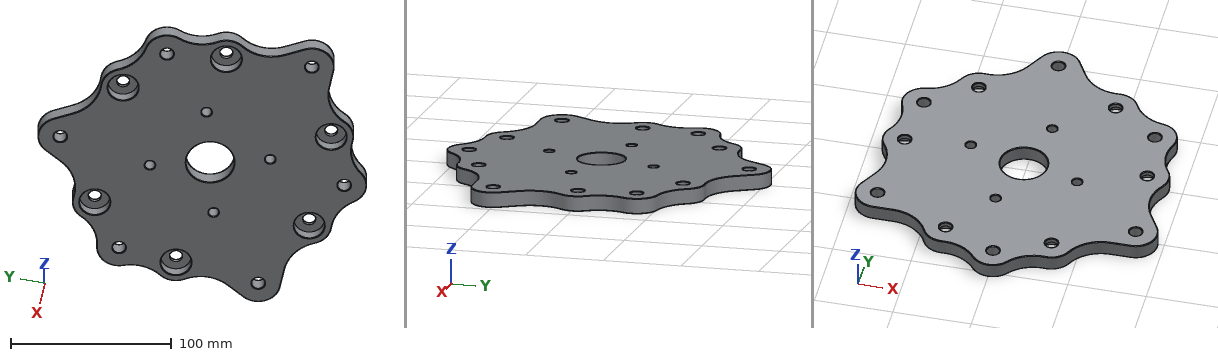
import cadquery as cq
import math

THICKNESS = 10.0
BORE_DIAMETER = 30.0
EDGE_CHAMFER = 0.5

ARM_COUNT = 3
ARM_STEP = 360 / ARM_COUNT
FIRST_ARM_ANGLE = 90
ARM_ANGLES = [FIRST_ARM_ANGLE + i * ARM_STEP for i in range(ARM_COUNT)]
LONG_ARM_RADIUS = 95.0
SHORT_ARM_RADIUS = 85.0
SIDE_ARM_RADIUS = 77.5
SIDE_ARM_OFFSET_ANGLE = 34.2
RIM_HOLE_DIAMETER = 8.1

COUNTERBORE_DIAMETER = 19.0
COUNTERBORE_DEPTH = 7.0

MOUNT_HOLE_COUNT = 4
MOUNT_HOLE_DIAMETER = 6.2
MOUNT_CIRCLE_RADIUS = 37.5
MOUNT_START_ANGLE = 75
MOUNT_ANGLES = [MOUNT_START_ANGLE + i * 360 / MOUNT_HOLE_COUNT for i in range(MOUNT_HOLE_COUNT)]

LOBE_RADIUS = 14.0
BLEND_RADIUS = 25.4
ARM_FLANK_ANGLE = 30


def polar(radius, angle):
    """Point at a radius and an angle in degrees."""
    return cq.Vector(radius * math.cos(math.radians(angle)), radius * math.sin(math.radians(angle)))


def toward(start, target, distance):
    """Point at a distance from start in the direction of target."""
    return start + (target - start).normalized() * distance


def arc(center, radius, start, end):
    """Shorter arc about a centre between two points on its circle."""
    middle = toward(center, (start + end) / 2, radius)
    return cq.Edge.makeThreePointArc(start, middle, end)


def half_sector_edges():
    """Outline from the axis of a long arm lying on +X, round to the next short arm."""
    long_arm = polar(LONG_ARM_RADIUS, 0)
    side_arm = polar(SIDE_ARM_RADIUS, SIDE_ARM_OFFSET_ANGLE)
    short_arm = polar(SHORT_ARM_RADIUS, ARM_STEP / 2)
    reach = LOBE_RADIUS + BLEND_RADIUS

    flank_normal = polar(1, 90 - ARM_FLANK_ANGLE)
    flank_direction = polar(1, 180 - ARM_FLANK_ANGLE)
    side_from_arm = side_arm - long_arm
    rise = reach - side_from_arm.dot(flank_normal)
    run = side_from_arm.dot(flank_direction) - math.sqrt(reach**2 - rise**2)
    flank_start = long_arm + flank_normal * LOBE_RADIUS
    flank_end = flank_start + flank_direction * run
    outer_blend = flank_end + flank_normal * BLEND_RADIUS

    middle = (side_arm + short_arm) / 2
    gap = short_arm - side_arm
    outward = cq.Vector(gap.y, -gap.x).normalized()
    inner_blend = middle + outward * math.sqrt(reach**2 - (gap.Length / 2) ** 2)

    side_start = toward(side_arm, outer_blend, LOBE_RADIUS)
    side_end = toward(side_arm, inner_blend, LOBE_RADIUS)
    short_start = toward(short_arm, inner_blend, LOBE_RADIUS)
    return [
        cq.Edge.makeLine(flank_start, flank_end),
        arc(outer_blend, BLEND_RADIUS, flank_end, side_start),
        arc(side_arm, LOBE_RADIUS, side_start, side_end),
        arc(inner_blend, BLEND_RADIUS, side_end, short_start),
    ]


def lobe_cap(center, start):
    """Lobe arc from a point across the axis of the arm to its mirror point."""
    axis = center.normalized()
    end = axis * (2 * start.dot(axis)) - start
    tip = center + axis * LOBE_RADIUS
    return cq.Edge.makeThreePointArc(start, tip, end)


def outline():
    """Closed outline of the plate: one arm sector repeated around the bore."""
    origin = cq.Vector(0, 0, 0)
    plate_axis = cq.Vector(0, 0, 1)
    half = half_sector_edges()
    mirrored_half = [edge.mirror("XZ") for edge in half]
    long_cap = lobe_cap(polar(LONG_ARM_RADIUS, 0), half[0].startPoint())
    short_cap = lobe_cap(polar(SHORT_ARM_RADIUS, ARM_STEP / 2), half[-1].endPoint())
    sector = half + mirrored_half + [long_cap, short_cap]
    edges = []
    for angle in ARM_ANGLES:
        edges += [edge.rotate(origin, plate_axis, angle) for edge in sector]
    return cq.Wire.combine(edges)[0]


def drill(points, diameter, depth=THICKNESS):
    """Cylinders rising from the underside, to be cut from the plate."""
    return cq.Workplane("XY").pushPoints(points).circle(diameter / 2).extrude(depth)


long_arm_holes = [polar(LONG_ARM_RADIUS, angle) for angle in ARM_ANGLES]
short_arm_holes = [polar(SHORT_ARM_RADIUS, angle + ARM_STEP / 2) for angle in ARM_ANGLES]
side_arm_holes = [
    polar(SIDE_ARM_RADIUS, angle + offset)
    for angle in ARM_ANGLES
    for offset in (-SIDE_ARM_OFFSET_ANGLE, SIDE_ARM_OFFSET_ANGLE)
]
mount_holes = [polar(MOUNT_CIRCLE_RADIUS, angle) for angle in MOUNT_ANGLES]

plate = cq.Workplane("XY").add(outline()).toPending().extrude(THICKNESS)
plate = plate.cut(drill([(0, 0)], BORE_DIAMETER))
plate = plate.cut(drill(long_arm_holes + short_arm_holes + side_arm_holes, RIM_HOLE_DIAMETER))
plate = plate.cut(drill(mount_holes, MOUNT_HOLE_DIAMETER))
plate = plate.cut(drill(side_arm_holes, COUNTERBORE_DIAMETER, COUNTERBORE_DEPTH))

result = plate.faces("<Z or >Z").edges().chamfer(EDGE_CHAMFER)